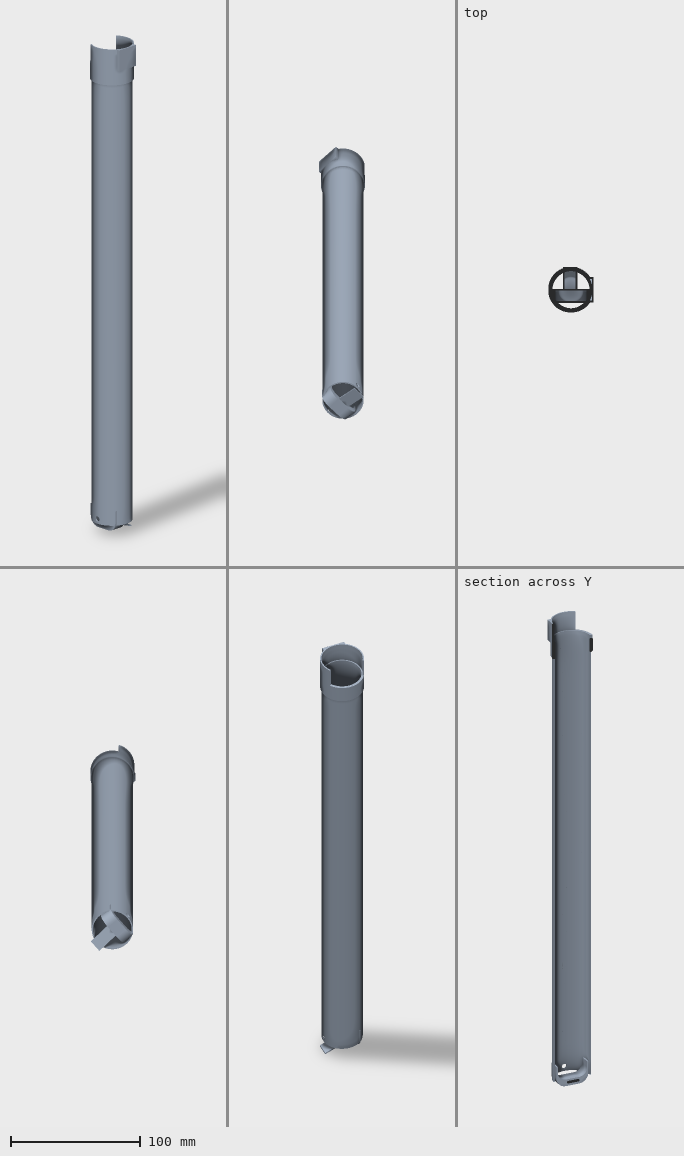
import cadquery as cq

TOTAL_HEIGHT = 399.5
TUBE_BOTTOM = 9.0

TUBE_RADIUS = 16.0
TUBE_BORE_RADIUS = 14.98
PIN_HOLE_RADIUS = 2.0
PIN_HOLE_Z = TUBE_BOTTOM + 4.0

COLLAR_RADIUS = 16.98
COLLAR_HEIGHT = 29.0
COLLAR_BOTTOM = TOTAL_HEIGHT - COLLAR_HEIGHT
NOTCH_DEPTH = 15.5
NOTCH_X = -8.8
PAD_HALF_WIDTH = 9.0
PAD_HEIGHT = 17.0
TUBE_TOP = TOTAL_HEIGHT - NOTCH_DEPTH

SHEET = 1.0
CLIP_HALF_WIDTH = 13.5
CLIP_DEPTH = 9.5
CLIP_BOTTOM = 3.5
CLIP_TOP = TUBE_BOTTOM + 12.0
CLIP_BEND_RADIUS = 8.0
FLOOR_TOP = TUBE_BOTTOM
TONGUE_ROOT_Z = 7.0
TONGUE_LEFT = -5.5
TONGUE_WIDTH = 10.0
TONGUE_REACH = 16.8


def make_clip():
    """U-shaped clip with a thick floor and a tongue angled down toward +Y."""
    body = (
        cq.Workplane("XY")
        .box(2 * CLIP_HALF_WIDTH, CLIP_DEPTH, CLIP_TOP - CLIP_BOTTOM, centered=(True, False, False))
        .translate((0, -CLIP_DEPTH, CLIP_BOTTOM))
        .edges("|Y and <Z")
        .fillet(CLIP_BEND_RADIUS)
    )
    inner_half_width = CLIP_HALF_WIDTH - SHEET
    hollow = (
        cq.Workplane("XY")
        .box(2 * inner_half_width, CLIP_DEPTH, CLIP_TOP - FLOOR_TOP, centered=(True, False, False))
        .translate((0, -CLIP_DEPTH, FLOOR_TOP))
        .edges("|Y and <Z")
        .fillet(CLIP_BEND_RADIUS - SHEET)
    )
    tongue = (
        cq.Workplane("YZ", origin=(TONGUE_LEFT, 0, 0))
        .moveTo(0, TONGUE_ROOT_Z)
        .lineTo(TONGUE_REACH, SHEET)
        .lineTo(TONGUE_REACH, 0)
        .lineTo(0, TONGUE_ROOT_Z - SHEET)
        .close()
        .extrude(TONGUE_WIDTH)
    )
    return body.cut(hollow).union(tongue)


def make_tube(clip):
    """Long tube with a cross hole near the bottom and slots where the clip legs pass through."""
    tube = (
        cq.Workplane("XY", origin=(0, 0, TUBE_BOTTOM))
        .circle(TUBE_RADIUS)
        .circle(TUBE_BORE_RADIUS)
        .extrude(TUBE_TOP - TUBE_BOTTOM)
    )
    cross_hole = (
        cq.Workplane("XZ", origin=(0, 0, PIN_HOLE_Z))
        .circle(PIN_HOLE_RADIUS)
        .extrude(TUBE_RADIUS, both=True)
    )
    return tube.cut(cross_hole).cut(clip)


def make_collar():
    """Ring around the tube top, notched on the -X side and with a flat pad on the +X side."""
    ring = cq.Workplane("XY", origin=(0, 0, COLLAR_BOTTOM)).circle(COLLAR_RADIUS).extrude(COLLAR_HEIGHT)
    pad = (
        cq.Workplane("XY")
        .box(COLLAR_RADIUS, 2 * PAD_HALF_WIDTH, PAD_HEIGHT, centered=(False, True, False))
        .translate((0, 0, TOTAL_HEIGHT - PAD_HEIGHT))
    )
    bore = cq.Workplane("XY", origin=(0, 0, COLLAR_BOTTOM)).circle(TUBE_RADIUS).extrude(COLLAR_HEIGHT)
    notch = (
        cq.Workplane("XY")
        .box(COLLAR_RADIUS, 2 * COLLAR_RADIUS, NOTCH_DEPTH, centered=(False, True, False))
        .translate((NOTCH_X - COLLAR_RADIUS, 0, TUBE_TOP))
    )
    return ring.union(pad).cut(bore).cut(notch)


clip = make_clip()
tube = make_tube(clip)
collar = make_collar()

result = cq.Compound.makeCompound([*tube.solids().vals(), *collar.solids().vals(), *clip.solids().vals()])